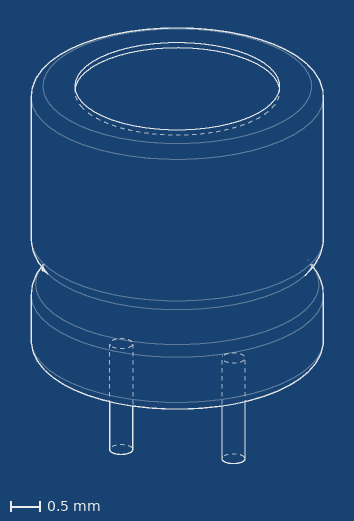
import cadquery as cq
import math

can_diameter = 5.0
overall_height = 7
can_height = 5.0
rim_radius = 0.2

groove_center_z = 1.59
groove_half_height = 0.53
groove_depth = 0.2
throat_half_height = 0.33

recess_diameter = 3.5
recess_depth = 0.1

pin_diameter = 0.4
pin_spacing = 2.0
long_pin_length = overall_height - can_height
short_pin_length = 1.905
pin_overlap = 0.07

can_radius = can_diameter / 2

flank_angle = 2 * math.atan(groove_depth / groove_half_height)
lip_height = groove_half_height - throat_half_height
lip_arc_radius = lip_height / math.sin(flank_angle)


def lip_inset(angle):
    """Radial inset of the lip arc after turning through an angle."""
    return lip_arc_radius * (1 - math.cos(angle))


def make_can():
    """Revolve the grooved can with rounded rims."""
    seam_radius = can_radius - lip_inset(flank_angle)
    lip_mid_radius = can_radius - lip_inset(flank_angle / 2)
    lip_mid_offset = groove_half_height - lip_arc_radius * math.sin(flank_angle / 2)
    z = groove_center_z

    can = (
        cq.Workplane("XZ")
        .lineTo(can_radius, 0)
        .lineTo(can_radius, z - groove_half_height)
        .threePointArc((lip_mid_radius, z - lip_mid_offset), (seam_radius, z - throat_half_height))
        .threePointArc((can_radius - groove_depth, z), (seam_radius, z + throat_half_height))
        .threePointArc((lip_mid_radius, z + lip_mid_offset), (can_radius, z + groove_half_height))
        .lineTo(can_radius, can_height)
        .lineTo(0, can_height)
        .close()
        .revolve(360, (0, 0, 0), (0, 1, 0))
    )
    return can.faces("<Z or >Z").edges().fillet(rim_radius)


def make_recess():
    """Shallow round recess in the top face."""
    return (
        cq.Workplane("XY")
        .workplane(offset=can_height - recess_depth)
        .circle(recess_diameter / 2)
        .extrude(recess_depth)
    )


def make_pin(x, length):
    """Round lead hanging below the can."""
    return (
        cq.Workplane("XY")
        .workplane(offset=-length)
        .center(x, 0)
        .circle(pin_diameter / 2)
        .extrude(length + pin_overlap)
    )


result = make_can().cut(make_recess())
for pin_x, pin_length in ((-pin_spacing / 2, long_pin_length), (pin_spacing / 2, short_pin_length)):
    result = result.union(make_pin(pin_x, pin_length))